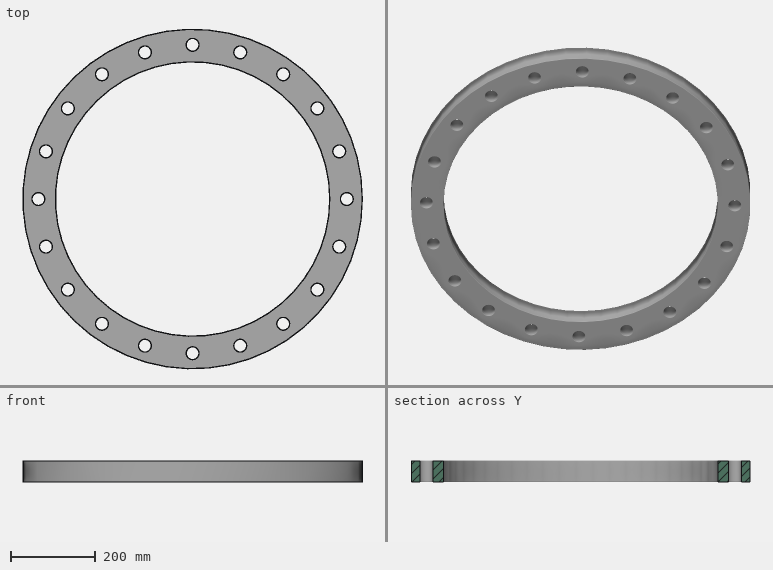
import cadquery as cq

outer_diameter = 799.0
bore_diameter = 645.0
thickness = 50.0

bolt_circle_diameter = 725.5
bolt_hole_diameter = 29.5
bolt_count = 20

edge_radius = 1.0


def ring_body():
    """Flat ring centred on the Z axis, standing on the XY plane."""
    return (
        cq.Workplane("XY")
        .circle(outer_diameter / 2)
        .circle(bore_diameter / 2)
        .extrude(thickness)
    )


def bolt_holes():
    """Through-hole cutters evenly spaced on the bolt circle, the first one on +X."""
    return (
        cq.Workplane("XY")
        .polarArray(bolt_circle_diameter / 2, 0, 360, bolt_count)
        .circle(bolt_hole_diameter / 2)
        .extrude(thickness)
    )


def round_edges(body):
    """Round the rim, bore and bolt hole edges on both flat faces."""
    return body.faces("<Z or >Z").edges().fillet(edge_radius)


result = round_edges(ring_body().cut(bolt_holes()))